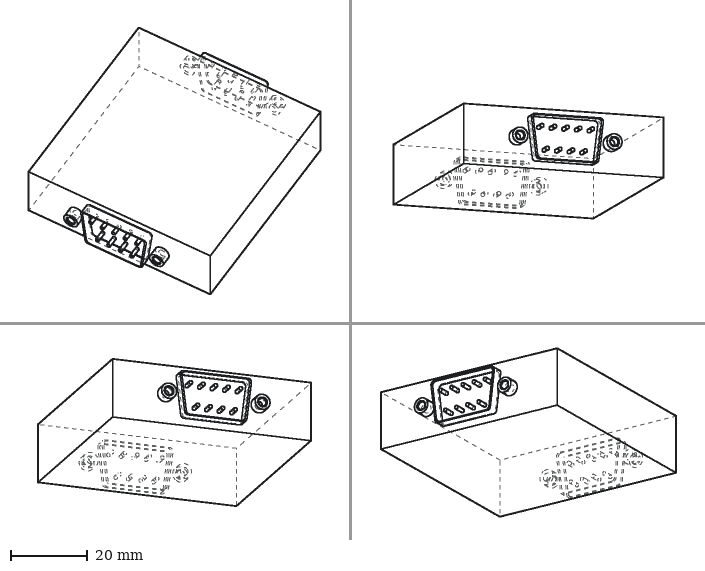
import cadquery as cq
import math

overall_length = 62.0
connector_projection = 3.0
housing_width = 55.0
housing_height = 16.0
housing_length = overall_length - 2 * connector_projection

shell_top_width = 20.0
shell_height = 12.0
shell_side_angle = 7.0
shell_corner_radius = 1.0
shell_side_wall = 0.5
shell_edge_wall = 0.25

pin_diameter = 1.0
pin_length = connector_projection
upper_row_pins = 5
lower_row_pins = 4
pin_pitch = 3.5
pin_row_height = 3.0
lower_row_shift = 0.25

standoff_diameter = 4.15
standoff_offset = 12.95
standoff_hole_diameter = 2.1
standoff_hole_chamfer = 0.25
standoff_hole_depth = connector_projection
drill_point_angle = 118.0


def front_plane():
    """Workplane on the front of the housing, facing -Y, with X right and Z up."""
    return cq.Workplane(cq.Plane(origin=(0, -housing_length / 2, 0), xDir=(1, 0, 0), normal=(0, -1, 0)))


def shell_block(side_inset, edge_inset):
    """D-shaped block with rounded corners and its wide side up, drawn in from the outer outline."""
    half_height = shell_height / 2 - edge_inset
    slope = math.tan(math.radians(shell_side_angle))
    middle = (shell_top_width - shell_height * slope) / 2 - side_inset
    top = middle + half_height * slope
    bottom = middle - half_height * slope
    corners = [(-top, half_height), (top, half_height), (bottom, -half_height), (-bottom, -half_height)]
    block = front_plane().polyline(corners).close().extrude(connector_projection)
    return block.edges("|Y").fillet(shell_corner_radius)


def connector_shell():
    """Thin D-shaped wall, open at the front and closed by the housing behind."""
    return shell_block(0, 0).cut(shell_block(shell_side_wall, shell_edge_wall))


def pin_row(count, middle, height):
    """Evenly pitched pins in one row."""
    places = [(middle + (i - (count - 1) / 2) * pin_pitch, height) for i in range(count)]
    return front_plane().pushPoints(places).circle(pin_diameter / 2).extrude(pin_length)


def standoffs():
    """Round posts on both sides of the shell."""
    places = [(-standoff_offset, 0), (standoff_offset, 0)]
    return front_plane().pushPoints(places).circle(standoff_diameter / 2).extrude(connector_projection)


def standoff_hole(x):
    """Blind drilled hole with a chamfered mouth and a conical bottom."""
    radius = standoff_hole_diameter / 2
    tip = standoff_hole_depth + radius / math.tan(math.radians(drill_point_angle / 2))
    profile = [
        (0, 0),
        (radius + standoff_hole_chamfer, 0),
        (radius, standoff_hole_chamfer),
        (radius, standoff_hole_depth),
        (0, tip),
    ]
    drill = cq.Workplane("XY").polyline(profile).close().revolve(360, (0, 0), (0, 1))
    return drill.translate((x, -overall_length / 2, 0))


housing = cq.Workplane("XY").box(housing_width, housing_length, housing_height)

connector = (
    connector_shell()
    .union(pin_row(upper_row_pins, 0, pin_row_height))
    .union(pin_row(lower_row_pins, lower_row_shift, -pin_row_height))
    .union(standoffs())
)
holes = standoff_hole(-standoff_offset).union(standoff_hole(standoff_offset))

result = (
    housing.union(connector)
    .union(connector.mirror("XZ"))
    .cut(holes)
    .cut(holes.mirror("XZ"))
)